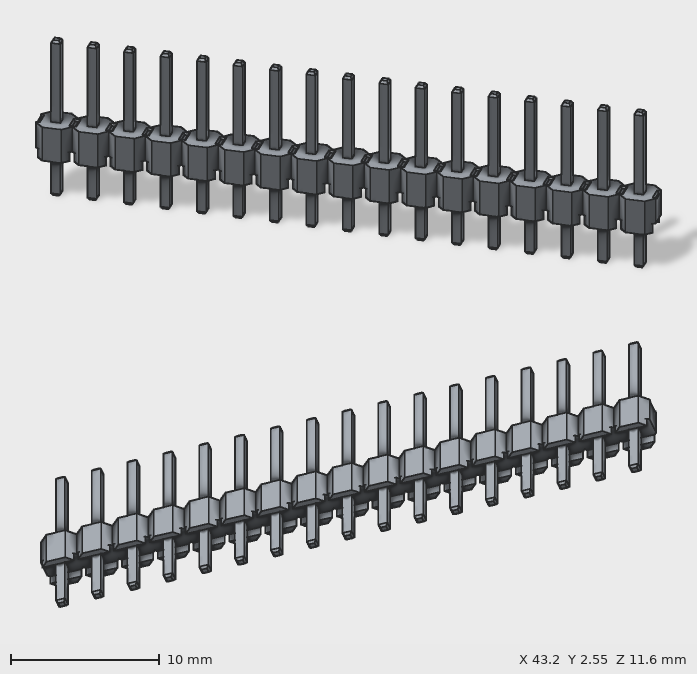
import cadquery as cq
import math

pin_count = 17
strip_length = 43.2
body_depth = 2.55
body_height = 2.5
corner_cut = 0.6
channel_width = 1.65
channel_depth = 0.65
notch_width = 0.47
notch_length = 1.12
notch_depth = 0.15
notch_wall_slope = 45
pin_width = 0.65
pin_above = 6.1
pin_below = 3.02
tip_inset = 0.15
tip_height = 0.195

pitch = strip_length / pin_count
pin_length = pin_below + body_height + pin_above
first_pin_x = (pitch - strip_length) / 2
pin_positions = [(first_pin_x + i * pitch, 0) for i in range(pin_count)]


def make_segments():
    """Row of bevelled blocks joined side by side, standing on Z = 0."""
    segment = cq.Workplane("XY").box(pitch, body_depth, body_height, centered=(True, True, False))
    segment = segment.edges("|Z").chamfer(corner_cut).val()
    row = cq.Workplane("XY").pushPoints(pin_positions)
    return row.eachpoint(lambda place: segment.moved(place), combine="a")


def make_channel():
    """Full-length channel cut into the underside of the body."""
    return cq.Workplane("XY").box(strip_length, channel_width, channel_depth, centered=(True, True, False))


def make_break_notches():
    """Shallow notches with sloped walls on top, at every joint and at both ends of the strip."""
    notch = (
        cq.Workplane("XY", origin=(0, 0, body_height))
        .rect(notch_width, notch_length)
        .extrude(-notch_depth, taper=notch_wall_slope)
        .val()
    )
    joints = [(i * pitch - strip_length / 2, 0) for i in range(pin_count + 1)]
    return cq.Workplane("XY").pushPoints(joints).eachpoint(lambda place: notch.moved(place))


def make_pins():
    """Square pins with bevelled tips, passing right through the body."""
    tip_slope = math.degrees(math.atan(tip_inset / tip_height))
    shaft = cq.Workplane("XY", origin=(0, 0, tip_height - pin_below)).rect(pin_width, pin_width)
    shaft = shaft.extrude(pin_length - 2 * tip_height)
    pin = shaft
    for end_face in ("<Z", ">Z"):
        tip = shaft.faces(end_face).workplane().rect(pin_width, pin_width)
        pin = pin.union(tip.extrude(tip_height, taper=tip_slope, combine=False))
    pin = pin.val()
    return cq.Workplane("XY").pushPoints(pin_positions).eachpoint(lambda place: pin.moved(place))


body = make_segments().cut(make_channel()).cut(make_break_notches())
result = body.union(make_pins())